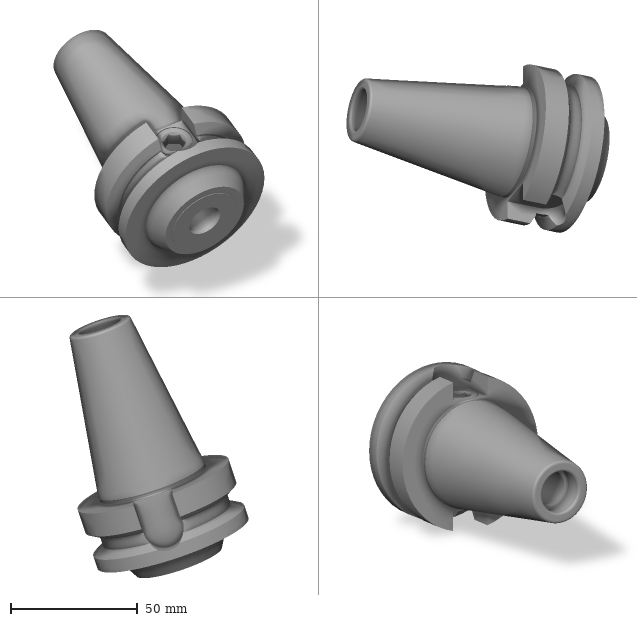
import cadquery as cq
import math

TOTAL_LENGTH = 100.4
TAPER_RATIO = 7 / 24
TAPER_END = 65.5
TAPER_END_RADIUS = 22.2
SMALL_END_FILLET = 1.2

NECK_RADIUS = 21.9
NECK_FLOOR_START = 66.1
NECK_FILLET = 0.6

FLANGE_DIAMETER = 63.0
FLANGE_RADIUS = FLANGE_DIAMETER / 2
FLANGE_START = 67.3
FLANGE_END = 92.4
GROOVE_RADIUS = 26.5
GROOVE_FLOOR_START = 79.5
GROOVE_FLOOR_END = 84.4
GROOVE_BEVEL_START = 77.1
GROOVE_BEVEL_END = 86.9
BEVEL_SLOPE = math.tan(math.radians(60))

NOSE_BASE_RADIUS = 22.3
NOSE_ANGLE = 30.0
NOSE_FACE = 100.2
NOSE_PAD_RADIUS = 14.5

BORE_RADIUS = 7.0
REAR_BORE_RADIUS = 8.4
REAR_BORE_DEPTH = 8.0
REAR_CONE_LENGTH = 0.6
REAR_MOUTH_FILLET = 1.1

SLOT_WIDTH = 16.1
SLOT_FLOOR = 22.6
SLOT_END = 88.4

SCREW_X = 75.4
SCREW_RADIUS = 7.5
SCREW_TIP = 6.5
SCREW_TOP_RADIUS = 7.1
SCREW_TOP_HEIGHT = 0.5
SOCKET_FLATS = 8.0
SOCKET_DEPTH = 6.0
SOCKET_MOUTH_RADIUS = 5.0


def make_turned_blank():
    """Taper, grooved flange and conical nose, revolved about X."""
    small_end_radius = TAPER_END_RADIUS - TAPER_END * TAPER_RATIO / 2
    rear_bevel_drop = (GROOVE_FLOOR_START - GROOVE_BEVEL_START) * BEVEL_SLOPE
    front_bevel_drop = (GROOVE_BEVEL_END - GROOVE_FLOOR_END) * BEVEL_SLOPE
    nose_drop = (NOSE_FACE - FLANGE_END) * math.tan(math.radians(NOSE_ANGLE))
    flange_and_nose = [
        (FLANGE_START, FLANGE_RADIUS),
        (GROOVE_BEVEL_START, FLANGE_RADIUS),
        (GROOVE_FLOOR_START, FLANGE_RADIUS - rear_bevel_drop),
        (GROOVE_FLOOR_START, GROOVE_RADIUS),
        (GROOVE_FLOOR_END, GROOVE_RADIUS),
        (GROOVE_FLOOR_END, FLANGE_RADIUS - front_bevel_drop),
        (GROOVE_BEVEL_END, FLANGE_RADIUS),
        (FLANGE_END, FLANGE_RADIUS),
        (FLANGE_END, NOSE_BASE_RADIUS),
        (NOSE_FACE, NOSE_BASE_RADIUS - nose_drop),
        (NOSE_FACE, NOSE_PAD_RADIUS),
        (TOTAL_LENGTH, NOSE_PAD_RADIUS),
        (TOTAL_LENGTH, 0),
    ]
    blank = (
        cq.Workplane("XY")
        .lineTo(0, small_end_radius)
        .lineTo(TAPER_END, TAPER_END_RADIUS)
        .lineTo(NECK_FLOOR_START, NECK_RADIUS)
        .lineTo(FLANGE_START - NECK_FILLET, NECK_RADIUS)
        .radiusArc((FLANGE_START, NECK_RADIUS + NECK_FILLET), -NECK_FILLET)
        .polyline(flange_and_nose, includeCurrent=True)
        .close()
        .revolve(360, (0, 0, 0), (1, 0, 0))
    )
    return blank.faces("<X").edges().fillet(SMALL_END_FILLET)


def make_bore():
    """Through bore with a wider rear bore, a conical step and a rounded rear mouth."""
    return (
        cq.Workplane("XY")
        .lineTo(0, REAR_BORE_RADIUS + REAR_MOUTH_FILLET)
        .radiusArc((REAR_MOUTH_FILLET, REAR_BORE_RADIUS), -REAR_MOUTH_FILLET)
        .lineTo(REAR_BORE_DEPTH, REAR_BORE_RADIUS)
        .lineTo(REAR_BORE_DEPTH + REAR_CONE_LENGTH, BORE_RADIUS)
        .lineTo(TOTAL_LENGTH, BORE_RADIUS)
        .lineTo(TOTAL_LENGTH, 0)
        .close()
        .revolve(360, (0, 0, 0), (1, 0, 0))
    )


def make_drive_slot(side):
    """Round-ended slot cutter above (side = 1) or below (side = -1) the axis."""
    half_width = SLOT_WIDTH / 2
    arc_center = SLOT_END - half_width
    return (
        cq.Workplane("XY", origin=(0, 0, side * SLOT_FLOOR))
        .moveTo(FLANGE_START, -half_width)
        .lineTo(arc_center, -half_width)
        .threePointArc((SLOT_END, 0), (arc_center, half_width))
        .lineTo(FLANGE_START, half_width)
        .close()
        .extrude(side * (FLANGE_RADIUS - SLOT_FLOOR))
    )


def make_holder():
    holder = make_turned_blank().cut(make_bore())
    for side in (1, -1):
        holder = holder.cut(make_drive_slot(side))
    screw_hole = (
        cq.Workplane("XY", origin=(SCREW_X, 0, SCREW_TIP))
        .circle(SCREW_RADIUS)
        .extrude(SLOT_FLOOR - SCREW_TIP)
    )
    return holder.cut(screw_hole)


def make_screw():
    """Headless screw, flush with the slot floor, with a countersunk hexagon socket."""
    screw = (
        cq.Workplane("XY", origin=(SCREW_X, 0, SCREW_TIP))
        .circle(SCREW_RADIUS)
        .extrude(SLOT_FLOOR - SCREW_TOP_HEIGHT - SCREW_TIP)
        .faces(">Z")
        .workplane()
        .circle(SCREW_TOP_RADIUS)
        .extrude(SCREW_TOP_HEIGHT)
    )
    hexagon_diameter = SOCKET_FLATS / math.cos(math.pi / 6)
    socket = (
        cq.Workplane("XY", origin=(SCREW_X, 0, SLOT_FLOOR))
        .polygon(6, hexagon_diameter)
        .extrude(-SOCKET_DEPTH)
    )
    countersink = cq.Workplane(
        cq.Solid.makeCone(
            0, SOCKET_MOUTH_RADIUS, SOCKET_MOUTH_RADIUS,
            pnt=cq.Vector(SCREW_X, 0, SLOT_FLOOR - SOCKET_MOUTH_RADIUS),
        )
    )
    return screw.cut(socket).cut(countersink)


holder = make_holder()
clamping_screw = make_screw()
result = cq.Compound.makeCompound([holder.val(), clamping_screw.val()])